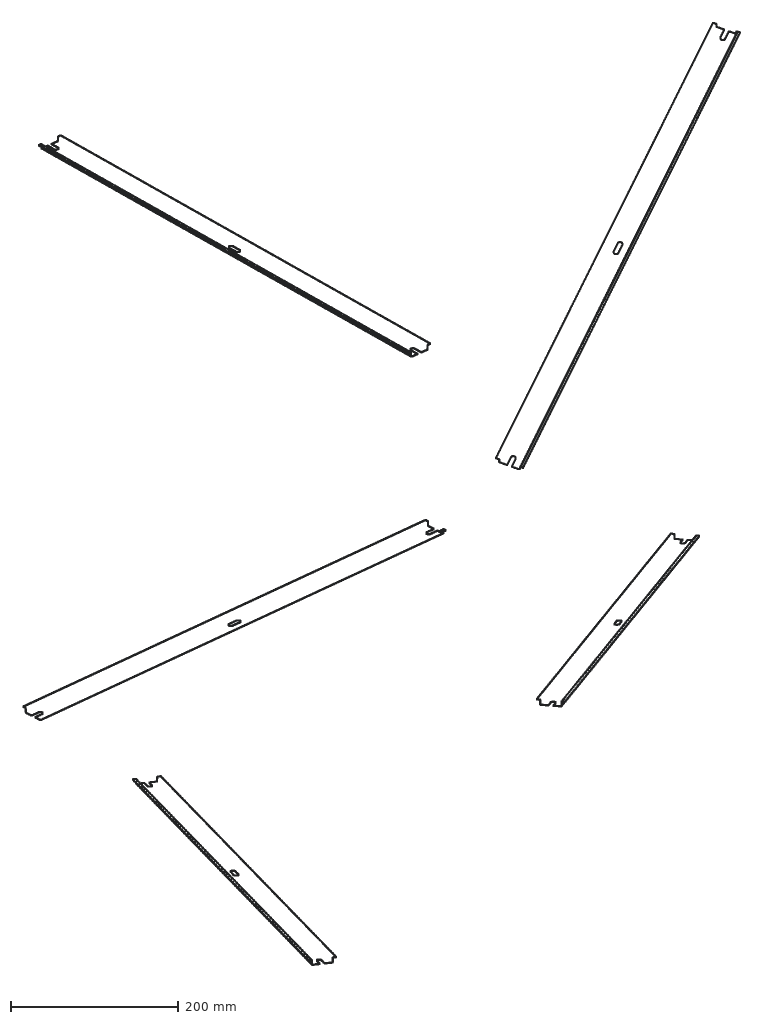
import cadquery as cq

length = 666.0
width = 35.0
height = 7.0
sheet = 1.0
channel_width = 27.0
outer_bend = 1.8
inner_bend = outer_bend - sheet

slot_length = 18.0
slot_width = 6.0
end_slot_depth = 14.5


def rail_profile():
    """Cross-section in the YZ plane, centred on Y with its underside at Z = 0."""
    flange_y = width / 2
    wall_y = channel_width / 2
    inner_y = wall_y - sheet
    return (
        cq.Workplane("YZ")
        .moveTo(-flange_y, height)
        .lineTo(-inner_y, height)
        .lineTo(-inner_y, sheet)
        .lineTo(inner_y, sheet)
        .lineTo(inner_y, height)
        .lineTo(flange_y, height)
        .lineTo(flange_y, height - sheet)
        .lineTo(wall_y, height - sheet)
        .lineTo(wall_y, 0)
        .lineTo(-wall_y, 0)
        .lineTo(-wall_y, height - sheet)
        .lineTo(-flange_y, height - sheet)
        .close()
    )


def round_bends(body):
    """Round the outside and inside of all four sheet bends."""
    wall_y = channel_width / 2
    inner_y = wall_y - sheet
    bends = (
        (wall_y, 0, outer_bend),
        (inner_y, sheet, inner_bend),
        (inner_y, height, outer_bend),
        (wall_y, height - sheet, inner_bend),
    )
    reach = sheet / 4
    for y, z, radius in bends:
        left, right = (
            cq.selectors.BoxSelector(
                (-length, side_y - reach, z - reach),
                (length, side_y + reach, z + reach),
            )
            for side_y in (-y, y)
        )
        body = body.edges("|X").edges(left + right).fillet(radius)
    return body


def cut_slots(body):
    """Cut the middle slot and the open slot at each end through the web."""
    middle_slot = cq.Workplane("XY").slot2D(slot_length, slot_width).extrude(height)
    end_slots = (
        cq.Workplane("XY")
        .pushPoints([(-length / 2, 0), (length / 2, 0)])
        .slot2D(2 * end_slot_depth, slot_width)
        .extrude(height)
    )
    return body.cut(middle_slot).cut(end_slots)


rail = rail_profile().extrude(length / 2, both=True)
result = cut_slots(round_bends(rail))